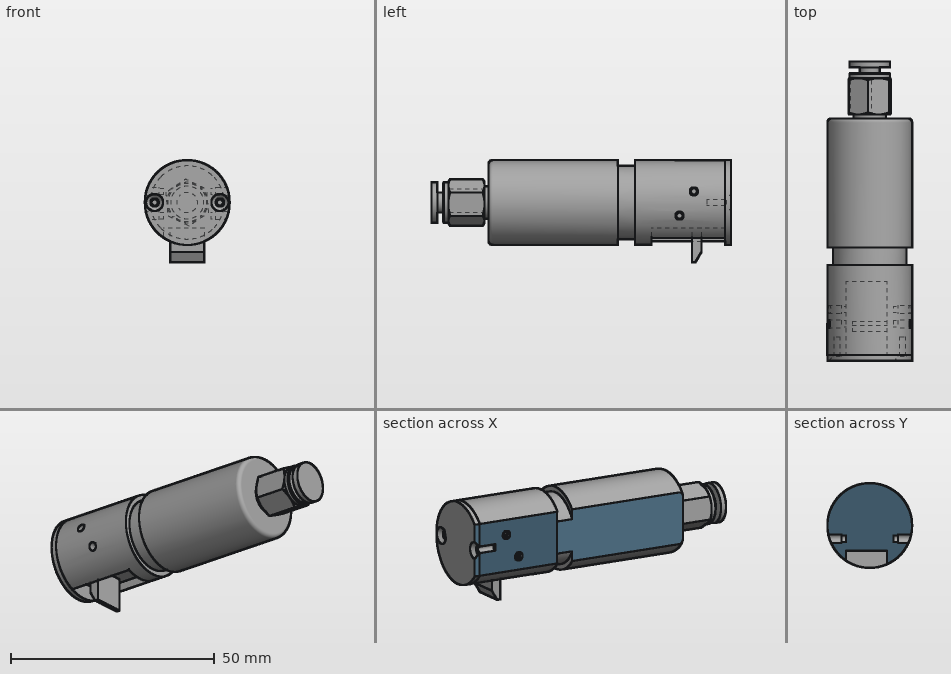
import cadquery as cq
import math


barrel_dia = 20.9

cap_thickness = 1.5
screw_offset = 8.0
screw_head_dia = 4.2
screw_clearance_dia = 2.05
countersink_angle = 90
tapped_hole_dia = 1.55
tapped_hole_depth = 4.4

head_end = 23.6
slot_end = 19.5
slot_left = 5.8
slot_floor = -6.25
side_hole_dia = 2.0
side_hole_shoulder = 7.0
side_bore_dia = 1.55
side_bore_floor = 5.9
side_hole_places = [(9.1, 2.7), (12.65, -3.2)]

hook_width = 8.4
hook_front = 7.2
hook_back = 9.6
hook_tip_width = 0.9
hook_bottom = -14.7
hook_bevel_top = -12.1

neck_dia = 18.1
shoulder = 27.8
cylinder_end = 59.5
cylinder_round = 1.0

stub_dia = 8.1
hex_start = 60.5
hex_end = 69.4
hex_flats = 10.0
hex_tilt = 4.5
hex_chamfer_angle = 30
collar_dia = 10.0
collar_end = 70.7
collar_chamfer = 0.3

sleeve_dia = 5.0
flange_start = 72.0
sleeve_end = 73.5

hex_corner_dia = hex_flats / math.cos(math.radians(30))


def disc(diameter, start, end, x=0, z=0):
    """Round bar along +Y from y = start to y = end."""
    return (
        cq.Workplane("XZ", origin=(x, start, z))
        .circle(diameter / 2)
        .extrude(start - end)
    )


def make_end_cap():
    """Plain disc with two countersunk screw holes."""
    return (
        disc(barrel_dia, 0, cap_thickness)
        .faces("<Y")
        .workplane(origin=(0, 0, 0))
        .pushPoints([(-screw_offset, 0), (screw_offset, 0)])
        .cskHole(screw_clearance_dia, screw_head_dia, countersink_angle)
    )


def make_head():
    """Round head with tapped holes, stepped side holes and the hook slot."""
    head = disc(barrel_dia, cap_thickness, head_end)
    for side in (-1, 1):
        head = head.cut(
            disc(tapped_hole_dia, cap_thickness, cap_thickness + tapped_hole_depth, x=side * screw_offset)
        )
        for diameter, floor in ((side_hole_dia, side_hole_shoulder), (side_bore_dia, side_bore_floor)):
            side_holes = (
                cq.Workplane("YZ", origin=(side * floor, 0, 0))
                .pushPoints(side_hole_places)
                .circle(diameter / 2)
                .extrude(side * barrel_dia / 2)
            )
            head = head.cut(side_holes)
    slot = (
        cq.Workplane("XY", origin=(0, 0, slot_floor))
        .moveTo(-slot_left, cap_thickness)
        .lineTo(hook_width / 2, cap_thickness)
        .lineTo(hook_width / 2, slot_end)
        .lineTo(-slot_left, slot_end)
        .close()
        .extrude(-barrel_dia / 2)
    )
    return head.cut(slot)


def make_hook():
    """Bar hanging from the slot floor, bevelled at the front of its tip."""
    return (
        cq.Workplane("YZ")
        .moveTo(hook_front, slot_floor)
        .lineTo(hook_back, slot_floor)
        .lineTo(hook_back, hook_bottom)
        .lineTo(hook_back - hook_tip_width, hook_bottom)
        .lineTo(hook_front, hook_bevel_top)
        .close()
        .extrude(hook_width / 2, both=True)
    )


def make_cylinder():
    """Barrel with a rounded rear edge and a narrower neck in front."""
    barrel = disc(barrel_dia, shoulder, cylinder_end).faces(">Y").edges().fillet(cylinder_round)
    return barrel.union(disc(neck_dia, head_end, shoulder))


def make_fitting():
    """Stub, chamfered hexagon and round collar of the push-in fitting."""
    hexagon = (
        cq.Workplane("XZ", origin=(0, hex_start, 0))
        .transformed(rotate=(0, 0, 90 + hex_tilt))
        .polygon(6, hex_corner_dia)
        .extrude(hex_start - hex_end)
    )
    corner_inset = (hex_corner_dia - hex_flats) / 2
    chamfer_length = corner_inset * math.tan(math.radians(hex_chamfer_angle))
    chamfer_envelope = (
        disc(hex_corner_dia, hex_start, hex_end)
        .edges()
        .chamfer(chamfer_length, corner_inset)
    )
    collar = disc(collar_dia, hex_end, collar_end).faces(">Y").edges().chamfer(collar_chamfer)
    stub = disc(stub_dia, cylinder_end, hex_start)
    return hexagon.intersect(chamfer_envelope).union(collar).union(stub)


def make_release_sleeve():
    """Thin sleeve with a flange at its outer end."""
    return disc(sleeve_dia, collar_end, flange_start).union(disc(collar_dia, flange_start, sleeve_end))


end_cap = make_end_cap()
head = make_head()
hook = make_hook()
cylinder = make_cylinder()
fitting = make_fitting()
release_sleeve = make_release_sleeve()

result = cq.Compound.makeCompound([
    end_cap.val(),
    head.val(),
    hook.val(),
    cylinder.val(),
    fitting.val(),
    release_sleeve.val(),
])